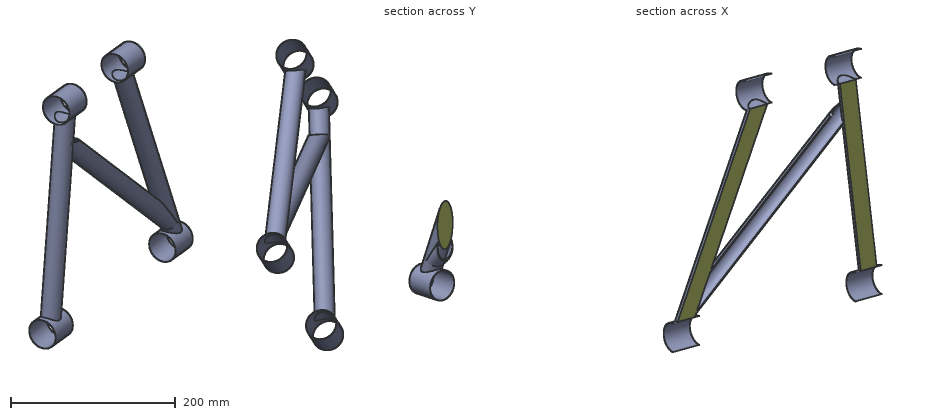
import cadquery as cq
import math

sleeve_diameter = 38.0
sleeve_wall = 0.3
sleeve_length = 40.2
sleeve_radius = sleeve_diameter / 2

frame_length = 320.0
frame_height = 327.0
lower_reach = (frame_length - sleeve_length) / 2
upper_z = frame_height / 2 - sleeve_radius
lower_z = -upper_z
upper_back_y = 28.8
upper_front_y = -108.0
sleeve_centers = [
    (lower_reach, lower_z),
    (-lower_reach, lower_z),
    (upper_back_y, upper_z),
    (upper_front_y, upper_z),
]

tube_diameter = 25.0
tube_bore = 21.0

leg_height = 2 * (upper_z - sleeve_radius)
brace_start_rise = 11.5
brace_end_rise = 222.7
brace_cut_slope = 18.2


def point_on_leg(lower_y, upper_y, rise):
    """Point on a leg axis at a given height above the lower sleeve tops."""
    y = lower_y + (upper_y - lower_y) * rise / leg_height
    return cq.Vector(0, y, lower_z + sleeve_radius + rise)


def rod(start, end, diameter, overrun=0.0):
    """Solid cylinder between two points, lengthened by overrun at both ends."""
    direction = (end - start).normalized()
    base = start - direction * overrun
    length = (end - start).Length + 2 * overrun
    return cq.Workplane(cq.Solid.makeCylinder(diameter / 2, length, base, direction))


def sleeve_cylinder(center, diameter):
    y, z = center
    half = cq.Vector(0, sleeve_length / 2, 0)
    middle = cq.Vector(0, y, z)
    return rod(middle - half, middle + half, diameter)


def leg_rod(lower_y, upper_y, diameter):
    """Leg aimed at the tangent points of its sleeves and running on into them."""
    start = point_on_leg(lower_y, upper_y, 0)
    end = point_on_leg(lower_y, upper_y, leg_height)
    return rod(start, end, diameter, overrun=sleeve_radius / 2)


def brace_tube():
    """Hollow diagonal whose upper end is trimmed by a shallow sloping plane."""
    start = point_on_leg(lower_reach, upper_back_y, brace_start_rise)
    end = point_on_leg(-lower_reach, upper_front_y, brace_end_rise)
    tube = rod(start, end, tube_diameter).cut(rod(start, end, tube_bore))
    slope = math.radians(brace_cut_slope)
    cut_normal = cq.Vector(0, math.sin(slope), math.cos(slope))
    cut_plane = cq.Plane(origin=end, xDir=(1, 0, 0), normal=cut_normal)
    trim = cq.Workplane(cut_plane).rect(frame_length, frame_length).extrude(frame_height)
    return tube.cut(trim)


leg_ends = [(lower_reach, upper_back_y), (-lower_reach, upper_front_y)]

result = brace_tube()
for lower_y, upper_y in leg_ends:
    result = result.union(leg_rod(lower_y, upper_y, tube_diameter))

for center in sleeve_centers:
    outer = sleeve_cylinder(center, sleeve_diameter)
    bore = sleeve_cylinder(center, sleeve_diameter - 2 * sleeve_wall)
    result = result.cut(outer).union(outer.cut(bore))